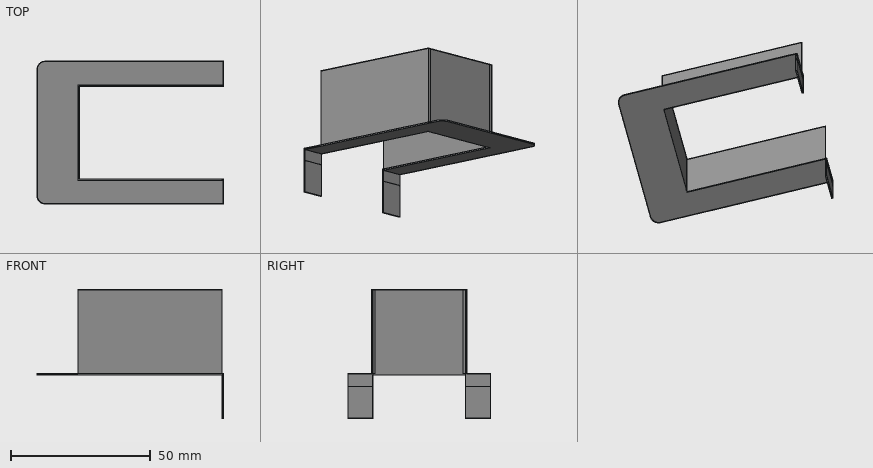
import cadquery as cq

sheet = 0.5
length = 66.59
width = 51.0
corner_radius = 3.0
front_margin = 14.6
slot_width = 33.05
slot_y = -0.025
box_height = 30.0
flange_width = 1.3
tab_depth = 4.5
leg_depth = 16.0

tab_x = length - sheet
slot_x = front_margin + sheet
box_width = slot_width + 2 * sheet
panel_width = box_width - 2 * flange_width


def block(x_start, y_start, z_start, x_size, y_size, z_size):
    """Box placed by its lowest corner."""
    corner = cq.Vector(x_start, y_start, z_start)
    return cq.Workplane(cq.Solid.makeBox(x_size, y_size, z_size, corner))


def strip_block(side, z_start, z_size):
    """Upright sheet at the rear, as wide as the base strip on one side of the slot."""
    outer = side * width / 2
    inner = slot_y + side * slot_width / 2
    return block(tab_x, min(outer, inner), z_start, sheet, abs(outer - inner), z_size)


def make_base():
    """U-shaped sheet with a raised front panel and two bent-down tabs."""
    base = block(0, -width / 2, -sheet, length, width, sheet)
    base = base.edges("|Z and <X").fillet(corner_radius)
    slot_start = slot_y - slot_width / 2
    base = base.cut(block(slot_x, slot_start, -sheet, length - slot_x, slot_width, sheet))
    panel_start = slot_y - panel_width / 2
    base = base.union(block(front_margin, panel_start, -sheet, sheet, panel_width, sheet + box_height))
    for side in (-1, 1):
        base = base.union(strip_block(side, -tab_depth, tab_depth))
    return base


def make_side_wall(side):
    """Upright wall beside the slot, with a narrow return meeting the front panel."""
    outer = slot_y + side * box_width / 2
    inner = slot_y + side * slot_width / 2
    flange_end = slot_y + side * panel_width / 2
    outline = [
        (front_margin, flange_end),
        (front_margin, outer),
        (tab_x, outer),
        (tab_x, inner),
        (slot_x, inner),
        (slot_x, flange_end),
    ]
    return cq.Workplane("XY").polyline(outline).close().extrude(box_height)


def make_leg(side):
    """Flat leg continuing straight down from a tab."""
    return strip_block(side, -leg_depth, leg_depth - tab_depth)


base = make_base()
side_walls = [make_side_wall(side) for side in (-1, 1)]
legs = [make_leg(side) for side in (-1, 1)]

result = cq.Compound.makeCompound(
    [base.val()] + [wall.val() for wall in side_walls] + [leg.val() for leg in legs]
)